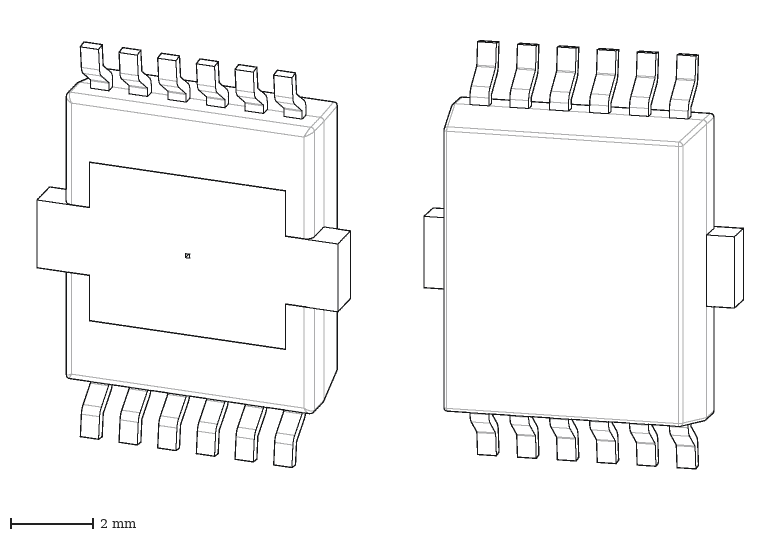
import cadquery as cq
import math

body_width = 6.41
body_height = 7.53
front_depth = 0.86
back_depth = 1.55
back_draft = 8.0
front_radius = 0.2
edge_radius = 0.09

tab_length = 7.8
tab_width = 1.79
pad_width = 5.08
pad_height = 4.17
spreader_depth = 0.88
center_hole_size = 0.1

overall_height = 10.33
leads_per_row = 6
lead_pitch = 1.0
lead_width = 0.48
lead_thickness = 0.26
lead_straight = 0.2
slope_angle = 54.0
slope_length = 0.62
foot_angle = 7.0
bend_radius = 0.04
root_length = 0.52


def block(width, height, depth):
    """Centred block reaching forward from the parting plane."""
    return cq.Workplane("XZ").rect(width, height).extrude(depth)


def make_body():
    """Straight front half and drafted back half with rounded edges."""
    front = block(body_width, body_height, front_depth)
    back = cq.Workplane("XZ").rect(body_width, body_height).extrude(-back_depth, taper=back_draft)
    body = front.union(back).faces("<Y").edges().fillet(front_radius)
    corner_edges = body.edges("not(#Y)")
    return corner_edges.fillet(edge_radius).faces(">Y").edges().fillet(edge_radius)


def make_spreader():
    """Pad with two side tabs."""
    return block(tab_length, tab_width, spreader_depth).union(block(pad_width, pad_height, spreader_depth))


def offset(point, ahead, back, angle):
    """(Y, Z) point moved ahead along a lead section, and towards the section's back face.

    The section leans from +Z towards -Y by the angle.
    """
    turn = math.radians(angle)
    return (
        point[0] - ahead * math.sin(turn) + back * math.cos(turn),
        point[1] + ahead * math.cos(turn) + back * math.sin(turn),
    )


def make_lead(x_center):
    """One upper lead: straight root, bend forward, slope, bend upward, tilted foot."""
    outer_radius = bend_radius + lead_thickness
    root_z = body_height / 2 - root_length
    lower_center = (-outer_radius, body_height / 2 + lead_straight)
    upper_center = offset(lower_center, slope_length, bend_radius + outer_radius, slope_angle)

    def lower_bend(angle, radius):
        return offset(lower_center, 0, radius, angle)

    def upper_bend(angle, radius):
        return offset(upper_center, 0, -radius, angle)

    lower_middle = slope_angle / 2
    upper_middle = (slope_angle + foot_angle) / 2
    foot_back = upper_bend(foot_angle, bend_radius)
    foot_length = (overall_height / 2 - foot_back[1]) / math.cos(math.radians(foot_angle))
    return (
        cq.Workplane("YZ", origin=(x_center - lead_width / 2, 0, 0))
        .moveTo(0, root_z)
        .lineTo(*lower_bend(0, outer_radius))
        .threePointArc(lower_bend(lower_middle, outer_radius), lower_bend(slope_angle, outer_radius))
        .lineTo(*upper_bend(slope_angle, bend_radius))
        .threePointArc(upper_bend(upper_middle, bend_radius), foot_back)
        .lineTo(*offset(foot_back, foot_length, 0, foot_angle))
        .lineTo(*offset(foot_back, foot_length, -lead_thickness, foot_angle))
        .lineTo(*upper_bend(foot_angle, outer_radius))
        .threePointArc(upper_bend(upper_middle, outer_radius), upper_bend(slope_angle, outer_radius))
        .lineTo(*lower_bend(slope_angle, bend_radius))
        .threePointArc(lower_bend(lower_middle, bend_radius), lower_bend(0, bend_radius))
        .lineTo(-lead_thickness, root_z)
        .close()
        .extrude(lead_width)
    )


result = make_body().union(make_spreader())
for position in range(leads_per_row):
    lead = make_lead((position - (leads_per_row - 1) / 2) * lead_pitch)
    result = result.union(lead).union(lead.mirror("XY"))
result = result.cut(block(center_hole_size, center_hole_size, spreader_depth))